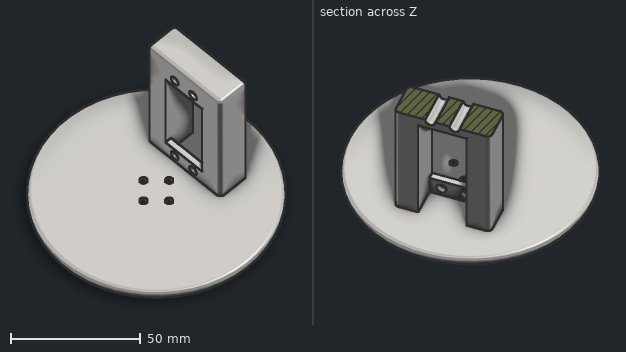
import cadquery as cq

plate_diameter = 100.0
plate_thickness = 4.0
plate_edge_radius = plate_thickness / 2

plate_hole_diameter = 3.1
plate_hole_offset = 7.0

block_width = 40.0
block_depth = 15.0
block_height = 60.0
block_front_y = 15.0
block_edge_radius = 2.0
block_center_y = block_front_y + block_depth / 2

window_width = 20.0
window_height = 40.0
window_center_z = 31.5
screw_hole_diameter = 4.1
screw_spacing_x = 10.0
screw_spacing_z = 48.0

sill_thickness = 3.0
notch_depth = block_depth - sill_thickness
notch_height = window_center_z - window_height / 2 - plate_thickness


def make_plate():
    """Disc with a fully rounded rim, resting on Z = 0."""
    flat_radius = plate_diameter / 2 - plate_edge_radius
    return (
        cq.Workplane("XZ")
        .lineTo(flat_radius, 0)
        .threePointArc((plate_diameter / 2, plate_thickness / 2), (flat_radius, plate_thickness))
        .lineTo(0, plate_thickness)
        .close()
        .revolve(360, (0, 0, 0), (0, 1, 0))
    )


def make_block():
    """Upright block, rounded on its vertical and top edges."""
    return (
        cq.Workplane("XY", origin=(0, block_center_y, plate_thickness))
        .rect(block_width, block_depth)
        .extrude(block_height)
        .edges("|Z or >Z")
        .fillet(block_edge_radius)
    )


def make_servo_cutter():
    """Window and four screw holes running through the block along Y."""
    face = cq.Workplane("XZ", origin=(0, block_center_y, window_center_z))
    window = face.rect(window_width, window_height).extrude(block_depth, both=True)
    screws = (
        face.rect(screw_spacing_x, screw_spacing_z, forConstruction=True)
        .vertices()
        .circle(screw_hole_diameter / 2)
        .extrude(block_depth, both=True)
    )
    return window.union(screws)


def make_rear_notch():
    """Notch as wide as the window, open to the rear, from the plate up to the window."""
    notch_center_y = block_front_y + sill_thickness + notch_depth / 2
    return (
        cq.Workplane("XY", origin=(0, notch_center_y, plate_thickness))
        .rect(window_width, notch_depth)
        .extrude(notch_height)
    )


def make_plate_holes():
    """Four holes on the X and Y axes through the plate."""
    return (
        cq.Workplane("XY")
        .polarArray(plate_hole_offset, 0, 360, 4)
        .circle(plate_hole_diameter / 2)
        .extrude(plate_thickness)
    )


block = make_block().cut(make_servo_cutter()).cut(make_rear_notch())
plate = make_plate().cut(make_plate_holes())
result = plate.union(block)